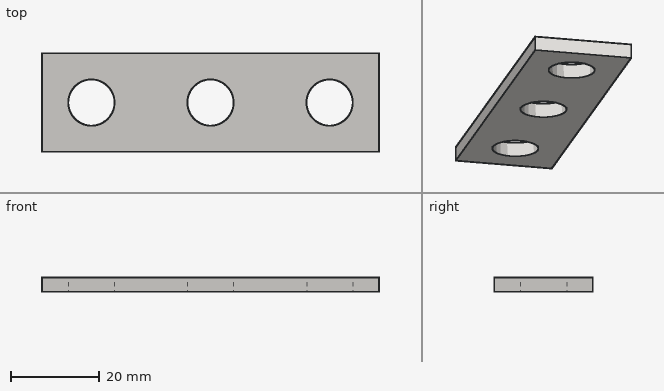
import cadquery as cq

length = 76.2
width = 22.35
thickness = 3.25

hole_diameter = 10.41
hole_count = 3
end_margin = width / 2
hole_pitch = (length - 2 * end_margin) / (hole_count - 1)


def make_bar():
    return cq.Workplane("XY").box(length, width, thickness)


def drill_holes(bar):
    return bar.faces(">Z").workplane().rarray(hole_pitch, 1, hole_count, 1).hole(hole_diameter)


result = drill_holes(make_bar())